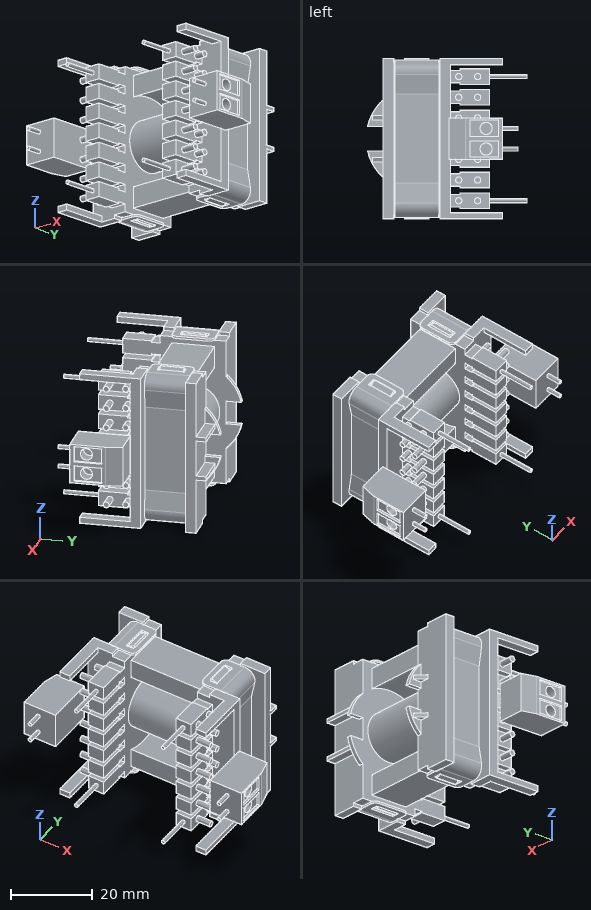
import cadquery as cq
import math

SPAN_X = 63.4
HEIGHT_Z = 39.4

FLANGE_OUTER_X = 21.3
CHEEK_INNER_X = 10.6
STEP_X = 14.2
FLANGE_INNER_Y = 5.65
FLANGE_OUTER_Y = 8.3

WINDING_DIA = 13.4
LEG_OUTER_Z = 17.1
LEG_HOLLOW_RADIUS = 12.8
CORE_HALF_Y = 5.4

CLIP_OUTER_X = 18.6
CLIP_END_X = 9.6
CLIP_OUTER_Z = 19.35
CLIP_THICKNESS = 0.6
CLIP_BEND_RADIUS = 3.05
CLIP_TILT = 11.0
CLIP_WAIST_Z = 10.9
CLIP_CORNER_RADIUS = 1.5
SLOT_X = (11.2, 13.2)
SLOT_LENGTH = 6.8
BARB_PEAK_X = 11.4
BARB_TIP_X = 11.0
BARB_LENGTH = 5.95

ARM_END_Y = -21.05
ARM_WIDTH_X = 2.9
ARM_THICKNESS_Z = 1.6

POST_COUNT = 7
POST_PITCH = 5.1
POST_OUTER_X = 14.95
POST_NECK_END_Y = -10.5
POST_END_Y = -17.8
POST_NECK_Z = 3.1
POST_HEAD_Z = 3.85

WIRE_PIN_DIA = 1.5
SHORT_PIN_Y = -10.3
SHORT_PIN_END_X = 17.7
LONG_PIN_Y = -14.9
LONG_PIN_END_X = 18.9

SOLDER_PIN_DIA = 1.0
SOLDER_PIN_X = 12.7
SOLDER_PIN_END_Y = -27.0

EAR_TIP_Y = 12.1
EAR_THICKNESS_X = 1.25
EAR_NEAR_Z = 3.0
EAR_ROOT_Z = 9.5
EAR_MID_Y = 10.95
EAR_MID_Z = 6.1
RIB_CENTER_Z = 5.15
RIB_THICKNESS_Z = 1.1
RIB_DEPTH_Y = 2.55

BLOCK_DEPTH_X = 9.1
BLOCK_BACK_Y = -7.9
BLOCK_FRONT_Y = -21.05
BLOCK_HALF_Z = 5.1
BLOCK_SLOPE_X = 1.0
BLOCK_SLOPE_Y = 4.05
BLOCK_PIN_X = 27.6
BLOCK_PIN_DIA = 1.0
BLOCK_PIN_END_Y = -24.85
POLE_Z = 2.55
WINDOW_Y = (-20.0, -13.0)
WINDOW_HEIGHT_Z = 4.0
WINDOW_DEPTH = 0.65
WIRE_HOLE_DIA = 3.0
WIRE_HOLE_Y = -17.0
WIRE_HOLE_DEPTH = 3.2

CHEEK_HALF_Z = CLIP_OUTER_Z - CLIP_THICKNESS
FLANGE_HALF_Z = HEIGHT_Z / 2
EAR_OUTER_X = CHEEK_INNER_X + EAR_THICKNESS_X
RIB_TOP_Y = FLANGE_OUTER_Y + RIB_DEPTH_Y
RIB_BOTTOM_Z = RIB_CENTER_Z - RIB_THICKNESS_Z / 2
POST_ZS = [(i - (POST_COUNT - 1) / 2) * POST_PITCH for i in range(POST_COUNT)]


def box(x_range, y_range, z_range):
    """Box between two limits along each axis."""
    corner = (x_range[0], y_range[0], z_range[0])
    return cq.Workplane("XY", origin=corner).box(
        x_range[1] - x_range[0],
        y_range[1] - y_range[0],
        z_range[1] - z_range[0],
        centered=False,
    )


def x_rod(diameter, x_range, y, z):
    """Round rod along X."""
    start = cq.Workplane("YZ", origin=(x_range[0], y, z))
    return start.circle(diameter / 2).extrude(x_range[1] - x_range[0])


def y_rod(diameter, y_range, x, z):
    """Round rod along Y."""
    start = cq.Workplane("XZ", origin=(x, y_range[1], z))
    return start.circle(diameter / 2).extrude(y_range[1] - y_range[0])


def both_z(part):
    """The part together with its mirror image below the XY plane."""
    return part.union(part.mirror("XY"))


def make_clip_and_core_end():
    """Core end wrapped by its spring clip, with a slot and a snap barb above and below."""
    bend_x = CLIP_OUTER_X - CLIP_BEND_RADIUS
    bend_z = CLIP_OUTER_Z - CLIP_BEND_RADIUS
    bend_mid = CLIP_BEND_RADIUS * math.sqrt(0.5)
    tilt = math.radians(CLIP_TILT)
    bend_end_x = bend_x + CLIP_BEND_RADIUS * math.cos(tilt)
    bend_end_z = bend_z - CLIP_BEND_RADIUS * math.sin(tilt)
    waist_x = bend_end_x - (bend_end_z - CLIP_WAIST_Z) * math.tan(tilt)
    outline = (
        cq.Workplane("XZ", origin=(0, CORE_HALF_Y, 0))
        .moveTo(CHEEK_INNER_X, 0)
        .lineTo(CHEEK_INNER_X, CLIP_OUTER_Z)
        .lineTo(bend_x, CLIP_OUTER_Z)
        .threePointArc((bend_x + bend_mid, bend_z + bend_mid), (bend_end_x, bend_end_z))
        .lineTo(waist_x, CLIP_WAIST_Z)
        .lineTo(waist_x, 0)
        .close()
    )
    half_end = outline.extrude(2 * CORE_HALF_Y)

    clip_tongue = box(
        (CLIP_END_X, STEP_X), (-CORE_HALF_Y, CORE_HALF_Y), (CHEEK_HALF_Z, CLIP_OUTER_Z)
    )
    clip_tongue = clip_tongue.edges("|Z and <X").fillet(CLIP_CORNER_RADIUS)
    above_cheek = box(
        (CHEEK_INNER_X, STEP_X), (-CORE_HALF_Y, CORE_HALF_Y), (CHEEK_HALF_Z, CLIP_OUTER_Z)
    )
    half_end = half_end.cut(above_cheek).union(clip_tongue)

    slot = box(SLOT_X, (-SLOT_LENGTH / 2, SLOT_LENGTH / 2), (CHEEK_HALF_Z, CLIP_OUTER_Z))
    barb = (
        cq.Workplane("XZ", origin=(0, BARB_LENGTH / 2, 0))
        .moveTo(SLOT_X[1], CHEEK_HALF_Z)
        .lineTo(BARB_PEAK_X, FLANGE_HALF_Z)
        .lineTo(BARB_TIP_X, CLIP_OUTER_Z)
        .lineTo(BARB_TIP_X, CHEEK_HALF_Z)
        .close()
        .extrude(BARB_LENGTH)
    )
    return both_z(half_end.cut(slot).union(barb))


def make_flanges():
    """Bobbin cheek with a taller flange in front and behind."""
    cheek = box(
        (CHEEK_INNER_X, STEP_X), (-FLANGE_OUTER_Y, FLANGE_OUTER_Y), (-CHEEK_HALF_Z, CHEEK_HALF_Z)
    )
    flange = box(
        (STEP_X, FLANGE_OUTER_X), (FLANGE_INNER_Y, FLANGE_OUTER_Y), (-FLANGE_HALF_Z, FLANGE_HALF_Z)
    )
    return cheek.union(flange).union(flange.mirror("XZ"))


def make_arms():
    """Two guard arms that reach forward from the corners of the front flange."""
    arm = box(
        (FLANGE_OUTER_X - ARM_WIDTH_X, FLANGE_OUTER_X),
        (ARM_END_Y, -FLANGE_INNER_Y),
        (FLANGE_HALF_Z - ARM_THICKNESS_Z, FLANGE_HALF_Z),
    )
    return both_z(arm)


def make_post(z):
    """Terminal post on a thinner neck, with its short and long wire pins."""
    neck = box(
        (CHEEK_INNER_X, POST_OUTER_X),
        (POST_NECK_END_Y, -FLANGE_INNER_Y),
        (z - POST_NECK_Z / 2, z + POST_NECK_Z / 2),
    )
    head = box(
        (CHEEK_INNER_X, POST_OUTER_X),
        (POST_END_Y, POST_NECK_END_Y),
        (z - POST_HEAD_Z / 2, z + POST_HEAD_Z / 2),
    )
    short_pin = x_rod(WIRE_PIN_DIA, (SOLDER_PIN_X, SHORT_PIN_END_X), SHORT_PIN_Y, z)
    long_pin = x_rod(WIRE_PIN_DIA, (SOLDER_PIN_X, LONG_PIN_END_X), LONG_PIN_Y, z)
    return neck.union(head).union(short_pin).union(long_pin)


def make_ears():
    """Two curved ears on the back flange."""
    ear = (
        cq.Workplane("YZ", origin=(CHEEK_INNER_X, 0, 0))
        .moveTo(FLANGE_INNER_Y, EAR_NEAR_Z)
        .lineTo(EAR_TIP_Y, EAR_NEAR_Z)
        .threePointArc((EAR_MID_Y, EAR_MID_Z), (FLANGE_OUTER_Y, EAR_ROOT_Z))
        .lineTo(FLANGE_INNER_Y, EAR_ROOT_Z)
        .close()
        .extrude(EAR_THICKNESS_X)
    )
    return both_z(ear)


def make_half():
    """Everything that both halves of the transformer share."""
    half = make_flanges()
    half = half.union(make_clip_and_core_end())
    half = half.union(make_arms())
    half = half.union(make_ears())
    for z in POST_ZS:
        half = half.union(make_post(z))
    for z in (POST_ZS[0], POST_ZS[-1]):
        half = half.union(y_rod(SOLDER_PIN_DIA, (SOLDER_PIN_END_Y, POST_NECK_END_Y), SOLDER_PIN_X, z))
    return half


def make_winding_and_legs():
    """Round winding and the two outer core legs, running between the bobbin cheeks."""
    length = (-CHEEK_INNER_X, CHEEK_INNER_X)
    winding = x_rod(WINDING_DIA, length, 0, 0)
    leg = box(length, (-CORE_HALF_Y, CORE_HALF_Y), (WINDING_DIA / 2, LEG_OUTER_Z))
    leg = leg.cut(x_rod(2 * LEG_HOLLOW_RADIUS, length, 0, 0))
    return winding.union(both_z(leg))


def make_gussets():
    """Triangular ribs that brace the ears on the -X side."""
    gusset = (
        cq.Workplane("XY", origin=(0, 0, RIB_BOTTOM_Z))
        .moveTo(-EAR_OUTER_X, FLANGE_OUTER_Y)
        .lineTo(-EAR_OUTER_X, RIB_TOP_Y)
        .lineTo(-EAR_OUTER_X - RIB_DEPTH_Y, FLANGE_OUTER_Y)
        .close()
        .extrude(RIB_THICKNESS_Z)
    )
    return both_z(gusset)


def make_long_ribs():
    """Rectangular ribs that run from the ears to the flange end on the +X side."""
    rib = box(
        (EAR_OUTER_X, FLANGE_OUTER_X),
        (FLANGE_OUTER_Y, RIB_TOP_Y),
        (RIB_BOTTOM_Z, RIB_BOTTOM_Z + RIB_THICKNESS_Z),
    )
    return both_z(rib)


def make_transformer():
    half = make_half()
    body = make_winding_and_legs().union(half).union(half.mirror("YZ"))
    return body.union(make_gussets()).union(make_long_ribs())


def make_terminal_block(side):
    """Two-pole terminal block; side is +1 for the +X end and -1 for the -X end."""
    outer_x = SPAN_X / 2
    body = (
        cq.Workplane("XY", origin=(0, 0, -BLOCK_HALF_Z))
        .moveTo(outer_x - BLOCK_DEPTH_X, BLOCK_FRONT_Y)
        .lineTo(outer_x, BLOCK_FRONT_Y)
        .lineTo(outer_x, BLOCK_BACK_Y - BLOCK_SLOPE_Y)
        .lineTo(outer_x - BLOCK_SLOPE_X, BLOCK_BACK_Y)
        .lineTo(outer_x - BLOCK_DEPTH_X, BLOCK_BACK_Y)
        .close()
        .extrude(2 * BLOCK_HALF_Z)
    )
    window_floor_x = outer_x - WINDOW_DEPTH
    for z in (-POLE_Z, POLE_Z):
        window_z = (z - WINDOW_HEIGHT_Z / 2, z + WINDOW_HEIGHT_Z / 2)
        body = body.cut(box((window_floor_x, outer_x), WINDOW_Y, window_z))
        hole_x = (window_floor_x - WIRE_HOLE_DEPTH, window_floor_x)
        body = body.cut(x_rod(WIRE_HOLE_DIA, hole_x, WIRE_HOLE_Y, z))
        body = body.union(y_rod(BLOCK_PIN_DIA, (BLOCK_PIN_END_Y, BLOCK_FRONT_Y), BLOCK_PIN_X, z))
    return body if side > 0 else body.mirror("YZ")


transformer = make_transformer()
terminal_blocks = [make_terminal_block(side) for side in (-1, 1)]

result = cq.Compound.makeCompound(
    [transformer.val(), *[block.val() for block in terminal_blocks]]
)